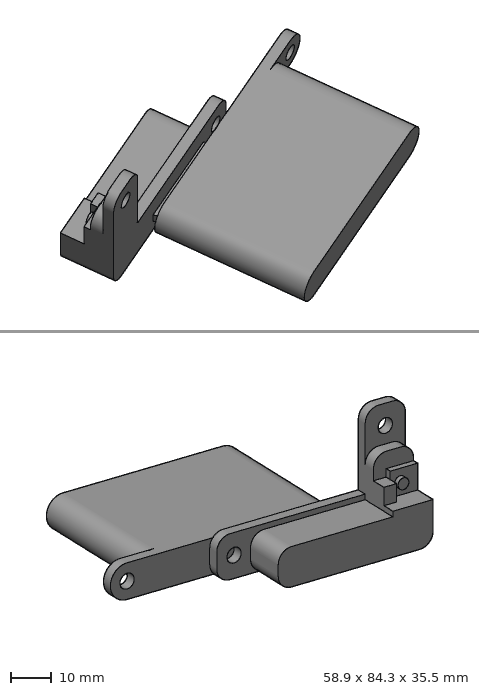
import cadquery as cq

plate_x = 12.0
plate_back_x = 15.0
body_x = 16.9
body_end_x = 58.9
plate_thickness = plate_back_x - plate_x

body_y = 17.1
body_width = 57.3
body_height = 9.95
body_radius = body_height / 2
tab_end_y = 84.3

bracket_length = 56.1
bracket_height = 12.5
upright_width = 12.0
upright_height = 35.5
corner_radius = 4.0
hole_diameter = 4.2
upright_hole_z = 29.4
bracket_hole_y = 50.9
bracket_hole_z = 6.3

housing_length = 46.0
housing_height = 11.0

shoulder_x = 8.4
shoulder_height = 24.45
large_block_x = 6.7
large_block_width = 8.2
large_block_height = 19.7
small_block_x = 3.9
small_block_height = 17.45
pin_x = 5.2
pin_y = 5.2
pin_z = 16.1
pin_diameter = 3.2

link_y = 19.6
link_end_y = 44.8
link_height = 2.7
link_end_rise = 0.25
link_curve_rise = 0.9
link_curve_mid_rise = 0.295


def box(x0, x1, y0, y1, z0, z1):
    """Box between opposite corners."""
    return cq.Workplane("XY").box(x1 - x0, y1 - y0, z1 - z0, centered=False).translate((x0, y0, z0))


def rod(x0, x1, y, z, diameter):
    """Cylinder along X."""
    return cq.Workplane("YZ", origin=(x0, y, z)).circle(diameter / 2).extrude(x1 - x0)


def make_body():
    body_center_y = body_y + body_width / 2
    body = (
        cq.Workplane("YZ", origin=(body_x, body_center_y, body_radius))
        .slot2D(body_width, body_height)
        .extrude(body_end_x - body_x)
    )
    tab_center_y = (body_center_y + tab_end_y) / 2
    tab = (
        cq.Workplane("YZ", origin=(body_x, tab_center_y, body_radius))
        .slot2D(tab_end_y - body_center_y, body_height)
        .extrude(plate_thickness)
    )
    tab_root = box(
        body_x, body_x + plate_thickness,
        body_center_y, tab_end_y - body_radius,
        0, body_height,
    )
    hole = rod(body_x, body_x + plate_thickness, tab_end_y - body_radius, body_radius, hole_diameter)
    return body.union(tab).union(tab_root).cut(hole)


def make_bracket():
    arm = box(plate_x, plate_back_x, 0, bracket_length, 0, bracket_height)
    arm = arm.edges("|X and >Y").fillet(corner_radius)
    upright = box(plate_x, plate_back_x, 0, upright_width, 0, upright_height)
    upright = upright.edges("|X and >Z").fillet(corner_radius)
    bracket = arm.union(upright)
    for y, z in ((upright_width / 2, upright_hole_z), (bracket_hole_y, bracket_hole_z)):
        bracket = bracket.cut(rod(plate_x, plate_back_x, y, z, hole_diameter))
    return bracket


def make_housing():
    housing = box(0, plate_x, 0, housing_length, 0, housing_height)
    housing = housing.edges("|X and >Y").fillet(corner_radius)
    return housing.union(box(0, plate_x, 0, upright_width, 0, bracket_height))


def make_steps():
    shoulder = box(shoulder_x, plate_x, 0, upright_width, bracket_height, shoulder_height)
    shoulder = shoulder.edges("|X and >Z").fillet(corner_radius)
    large_block = box(large_block_x, plate_x, 0, large_block_width, bracket_height, large_block_height)
    small_block = box(
        small_block_x, plate_x,
        large_block_width, upright_width,
        bracket_height, small_block_height,
    )
    pin = rod(pin_x, large_block_x, pin_y, pin_z, pin_diameter)
    return shoulder.union(large_block).union(small_block).union(pin)


def make_link():
    link_z = body_radius - link_height / 2
    link_mid_x = (plate_back_x + body_x) / 2
    return (
        cq.Workplane("XY", origin=(0, 0, link_z))
        .moveTo(plate_back_x, link_y)
        .threePointArc((link_mid_x, link_y + link_curve_mid_rise), (body_x, link_y + link_curve_rise))
        .lineTo(body_x, link_end_y + link_end_rise)
        .lineTo(plate_back_x, link_end_y)
        .close()
        .extrude(link_height)
    )


holder = make_bracket().union(make_housing()).union(make_steps())
holder = holder.edges("|X and <Y and <Z").fillet(corner_radius)
result = holder.union(make_link()).union(make_body())